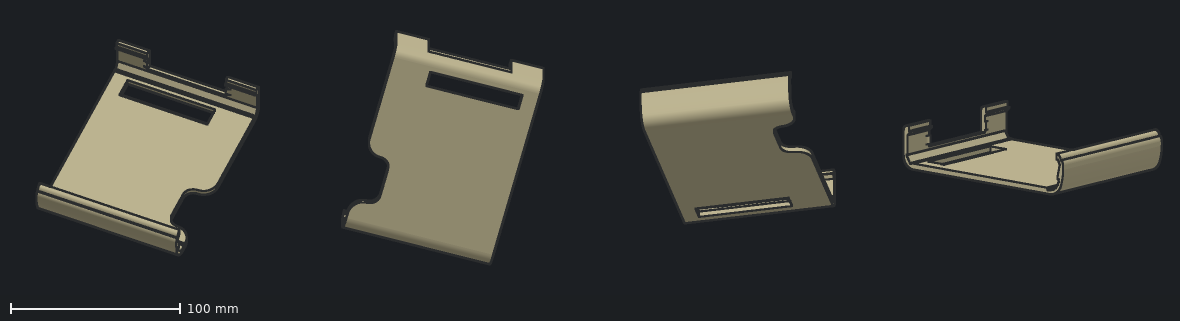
import cadquery as cq
import math

width = 90.0
length = 123.9
height = 26.0
right = width / 2
left = -right
back = length / 2
front = -back

floor_thickness = 3.7
wall_thickness = 3.2
rear_bend_radius = 7.4
rear_top_radius = 3.0
rear_head_thickness = 4.1
barb_reach = 5.5
barb_top = 22.8
barb_tip = 22.4
barb_root = 20.2

tab_width = 19.7
sill_height = 10.3
sill_recess = 0.4

rib_width = 2.5
rib_reach = 1.0
rib_bottom = 11.8
rib_top = 17.0

slot_left = left + 10.0
slot_length = 56.3
slot_back = back - 10.8
slot_front = back - 23.0
slot_slope_run = 3.1
slot_land = 0.4

notch_depth = 15.6
notch_outer_radius = 9.2
notch_inner_radius = notch_depth - notch_outer_radius
notch_center_y = -23.9
notch_half_throat = 15.0


def from_back(depth, z):
    """Profile point a given distance inside the rear face."""
    return (back - depth, z)


def from_front(depth, z):
    """Profile point a given distance inside the front face."""
    return (front + depth, z)


def bend_middle(radius):
    """Distance from each tangent face to the middle of a quarter-round corner."""
    return radius * (1 - math.sqrt(0.5))


def make_channel():
    """Clip section, drawn in YZ and extended across the full width."""
    bend = bend_middle(rear_bend_radius)
    crown = bend_middle(rear_top_radius)
    section = (
        cq.Workplane("YZ", origin=(left, 0, 0))
        .moveTo(*from_back(rear_bend_radius, 0))
        .threePointArc(from_back(bend, bend), from_back(0, rear_bend_radius))
        .lineTo(*from_back(0, height - rear_top_radius))
        .threePointArc(from_back(crown, height - crown), from_back(rear_top_radius, height))
        .lineTo(*from_back(rear_head_thickness, height))
        .lineTo(*from_back(rear_head_thickness, barb_top))
        .lineTo(*from_back(barb_reach, barb_top))
        .lineTo(*from_back(barb_reach, barb_tip))
        .lineTo(*from_back(wall_thickness, barb_root))
        .lineTo(*from_back(wall_thickness, 8.3))
        .lineTo(*from_back(2.2, 8.3))
        .lineTo(*from_back(5.3, 3.1))
        .lineTo(*from_back(6.5, 4.1))
        .lineTo(*from_back(7.5, floor_thickness))
        .lineTo(*from_front(12.8, floor_thickness))
        .lineTo(*from_front(12.1, 3.1))
        .lineTo(*from_front(12.1, 2.2))
        .threePointArc(from_front(6.0, 4.6), from_front(3.6, 8.3))
        .lineTo(*from_front(3.6, 9.9))
        .lineTo(*from_front(4.5, 10.0))
        .lineTo(*from_front(4.5, 10.7))
        .lineTo(*from_front(2.7, 18.6))
        .threePointArc(from_front(3.1, 20.1), from_front(4.5, 21.8))
        .lineTo(*from_front(5.1, 21.8))
        .lineTo(*from_front(5.1, 25.3))
        .threePointArc(from_front(3.2, 24.5), from_front(2.0, 22.8))
        .lineTo(*from_front(1.7, 21.8))
        .lineTo(*from_front(1.2, 21.8))
        .threePointArc(from_front(0.4, 20.5), from_front(0, 18.7))
        .lineTo(*from_front(0, 16.0))
        .threePointArc(from_front(0.5, 10.8), from_front(1.6, 6.5))
        .threePointArc(from_front(5.1, 1.7), from_front(10.4, 0))
        .close()
    )
    return section.extrude(width)


def make_tab_opening():
    """Space between the tabs, with the outer face of the sill set slightly inward."""
    opening_width = width - 2 * tab_width
    above_sill = (
        cq.Workplane("XY", origin=(0, back - rear_bend_radius, sill_height))
        .box(opening_width, rear_bend_radius, height, centered=(True, False, False))
    )
    outer_recess = (
        cq.Workplane("XY", origin=(0, back - sill_recess, 0))
        .box(opening_width, sill_recess, height, centered=(True, False, False))
    )
    return above_sill.union(outer_recess)


def make_stop_rib(side):
    """Upright rib that flares in a concave curve from the wall to one tab's inner edge."""
    inner_edge = side * (right - tab_width)
    outer_edge = inner_edge + side * rib_width
    wall_face = back - wall_thickness
    flare_radius = (rib_width**2 + rib_reach**2) / (2 * rib_reach)
    half_angle = math.asin(rib_width / flare_radius) / 2
    flare_middle = (
        outer_edge - side * flare_radius * math.sin(half_angle),
        wall_face - flare_radius * (1 - math.cos(half_angle)),
    )
    embedded_face = back - wall_thickness / 2
    return (
        cq.Workplane("XY", origin=(0, 0, rib_bottom))
        .moveTo(outer_edge, wall_face)
        .threePointArc(flare_middle, (inner_edge, wall_face - rib_reach))
        .lineTo(inner_edge, embedded_face)
        .lineTo(outer_edge, embedded_face)
        .close()
        .extrude(rib_top - rib_bottom)
    )


def make_floor_slot():
    """Through slot whose front wall leans outward above a small land."""
    return (
        cq.Workplane("YZ", origin=(slot_left, 0, 0))
        .polyline([
            (slot_back, 0),
            (slot_back, floor_thickness),
            (slot_front, floor_thickness),
            (slot_front + slot_slope_run, slot_land),
            (slot_front + slot_slope_run, 0),
        ])
        .close()
        .extrude(slot_length)
    )


def make_side_notch():
    """Notch through the floor with flowing S-shaped ends."""
    outer = notch_outer_radius
    inner = notch_inner_radius
    top = notch_center_y + notch_half_throat
    bottom = notch_center_y - notch_half_throat
    joint_x = right - outer
    inner_x = right - notch_depth
    outer_mid = bend_middle(outer)
    inner_mid = bend_middle(inner)
    return (
        cq.Workplane("XY")
        .moveTo(right, top + outer)
        .threePointArc((right - outer_mid, top + outer_mid), (joint_x, top))
        .threePointArc((inner_x + inner_mid, top - inner_mid), (inner_x, top - inner))
        .lineTo(inner_x, bottom + inner)
        .threePointArc((inner_x + inner_mid, bottom + inner_mid), (joint_x, bottom))
        .threePointArc((right - outer_mid, bottom - outer_mid), (right, bottom - outer))
        .close()
        .extrude(floor_thickness)
    )


result = make_channel().cut(make_tab_opening())
for side in (-1, 1):
    result = result.union(make_stop_rib(side))
result = result.cut(make_floor_slot()).cut(make_side_notch())